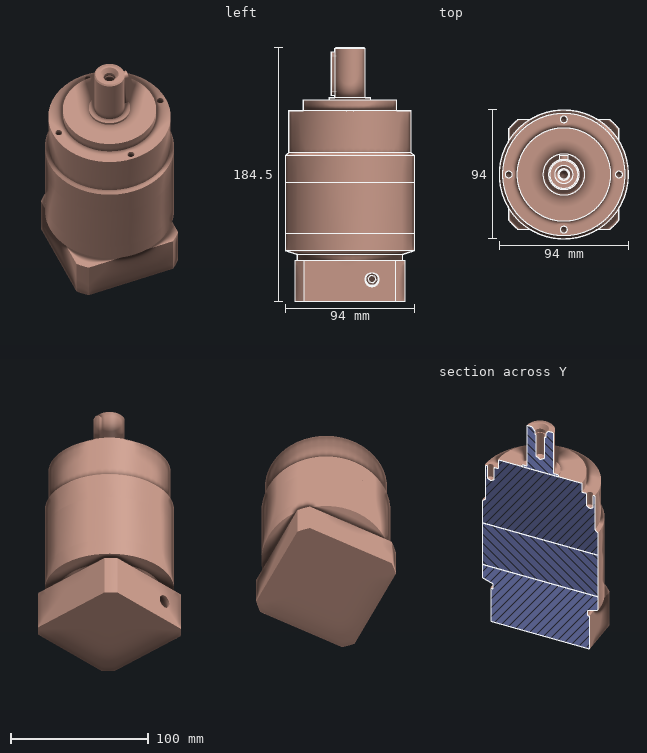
import cadquery as cq
import math


flange_top = 29.9
neck_top = 34.1
cone_top = 36.9
ring_bottom = 49.3
ring_top = 86.3
shoulder_bottom = 105.9
shoulder_top = 108.1
output_face = 138.5
pilot_top = 146.5
collar_top = 148.2
shaft_top = 184.5

body_diameter = 94.0
neck_diameter = 76.8
output_diameter = 89.0
pilot_diameter = 67.9

flange_width = 80.0
flange_corner_diameter = 104.0

mount_hole_count = 4
mount_circle_diameter = 80.0
mount_hole_diameter = 5.0
mount_hole_depth = 11.0
drill_point_angle = 118.0

collar_diameter = 30.0
shaft_diameter = 22.1
shaft_chamfer = 1.0
centre_mouth_diameter = 13.1
centre_cone_depth = 3.1
centre_bore_diameter = 8.5
centre_bore_depth = 6.0
centre_drill_diameter = 6.8
centre_drill_depth = 25.0

key_width = 6.0
key_height = 6.0
key_length = 32.0
key_top_gap = 3.1
key_outer_y = 13.7
key_floor_y = key_outer_y - key_height

flange_side_x = -flange_width / 2
access_y = -16.0
access_z = 15.7
access_diameter = 10.0
access_depth = 9.2
access_floor_x = flange_side_x + access_depth

screw_rise = 0.65
screw_z = access_z + screw_rise
screw_diameter = 10.0
screw_length = 6.0
screw_chamfer = 0.46
socket_sides = 6
socket_flats = 5.0
socket_depth = 3.0
socket_turn = 12.0


def cylinder(diameter, bottom, top):
    """Cylinder on the Z axis between two levels."""
    return cq.Workplane("XY").workplane(offset=bottom).circle(diameter / 2).extrude(top - bottom)


def cone(bottom_diameter, top_diameter, bottom, top):
    """Frustum on the Z axis between two levels; the bottom diameter may be zero."""
    profile = [(0, bottom), (bottom_diameter / 2, bottom), (top_diameter / 2, top), (0, top)]
    if bottom_diameter == 0:
        profile.pop(0)
    return cq.Workplane("XZ").polyline(profile).close().revolve(360, (0, 0), (0, 1))


def drilled_hole(diameter, depth, mouth):
    """Blind hole on the Z axis, opening at the mouth level and ending in a drill point."""
    floor = mouth - depth
    point_length = diameter / 2 / math.tan(math.radians(drill_point_angle / 2))
    return cylinder(diameter, floor, mouth).union(cone(0, diameter, floor - point_length, floor))


def make_screw_blank():
    """Plain cylinder filling the recess of the clamp screw."""
    return (
        cq.Workplane("YZ", origin=(access_floor_x, access_y, screw_z))
        .circle(screw_diameter / 2)
        .extrude(screw_length)
    )


def make_input_housing():
    """Square flange, neck and flared cover, with the access bore and screw recess."""
    flange = cq.Workplane("XY").rect(flange_width, flange_width).extrude(flange_top)
    flange = flange.intersect(cylinder(flange_corner_diameter, 0, flange_top))
    neck = cylinder(neck_diameter, flange_top, neck_top)
    flare = cone(neck_diameter, body_diameter, neck_top, cone_top)
    cover = cylinder(body_diameter, cone_top, ring_bottom)
    access_bore = (
        cq.Workplane("YZ", origin=(flange_side_x, access_y, access_z))
        .circle(access_diameter / 2)
        .extrude(access_depth)
    )
    housing = flange.union(neck).union(flare).union(cover)
    return housing.cut(access_bore).cut(make_screw_blank())


def make_gear_ring():
    """Plain ring section between the input and output housings."""
    return cylinder(body_diameter, ring_bottom, ring_top)


def make_output_housing():
    """Output housing with a bevelled shoulder, pilot and mounting holes."""
    base = cylinder(body_diameter, ring_top, shoulder_bottom)
    shoulder = cone(body_diameter, output_diameter, shoulder_bottom, shoulder_top)
    barrel = cylinder(output_diameter, shoulder_top, output_face)
    pilot = cylinder(pilot_diameter, output_face, pilot_top)
    housing = base.union(shoulder).union(barrel).union(pilot)
    mount_hole = drilled_hole(mount_hole_diameter, mount_hole_depth, output_face)
    mount_hole = mount_hole.translate((mount_circle_diameter / 2, 0, 0))
    for index in range(mount_hole_count):
        angle = 360 / mount_hole_count * index
        housing = housing.cut(mount_hole.rotate((0, 0, 0), (0, 0, 1), angle))
    return housing


def make_key():
    """Round-ended key lying along the shaft on its +Y side."""
    key_centre_z = shaft_top - key_top_gap - key_length / 2
    return (
        cq.Workplane("XZ", origin=(0, key_floor_y, key_centre_z))
        .slot2D(key_length, key_width, 90)
        .extrude(-key_height)
    )


def make_centre_hole():
    """Countersink, counterbore and tapping drill in the shaft end."""
    cone_floor = shaft_top - centre_cone_depth
    countersink = cone(centre_bore_diameter, centre_mouth_diameter, cone_floor, shaft_top)
    counterbore = cylinder(centre_bore_diameter, shaft_top - centre_bore_depth, shaft_top)
    drill = drilled_hole(centre_drill_diameter, centre_drill_depth, shaft_top)
    return countersink.union(counterbore).union(drill)


def make_output_shaft(key):
    """Shaft with a collar, an end chamfer, a centre hole and a keyway that fits the key."""
    collar = cylinder(collar_diameter, pilot_top, collar_top)
    journal = cylinder(shaft_diameter, collar_top, shaft_top).faces(">Z").chamfer(shaft_chamfer)
    return collar.union(journal).cut(make_centre_hole()).cut(key)


def make_clamp_screw():
    """Screw with a chamfered rim and a hexagon socket, facing out of the access bore."""
    socket_corners = socket_flats / math.cos(math.pi / socket_sides)
    socket = (
        cq.Workplane("YZ", origin=(access_floor_x, access_y, screw_z))
        .polygon(socket_sides, socket_corners)
        .extrude(socket_depth)
        .rotate((0, access_y, screw_z), (1, access_y, screw_z), socket_turn)
    )
    return make_screw_blank().faces("<X").chamfer(screw_chamfer).cut(socket)


input_housing = make_input_housing()
gear_ring = make_gear_ring()
output_housing = make_output_housing()
key = make_key()
output_shaft = make_output_shaft(key)
clamp_screw = make_clamp_screw()

result = cq.Compound.makeCompound(
    [
        input_housing.val(),
        gear_ring.val(),
        output_housing.val(),
        output_shaft.val(),
        key.val(),
        clamp_screw.val(),
    ]
)